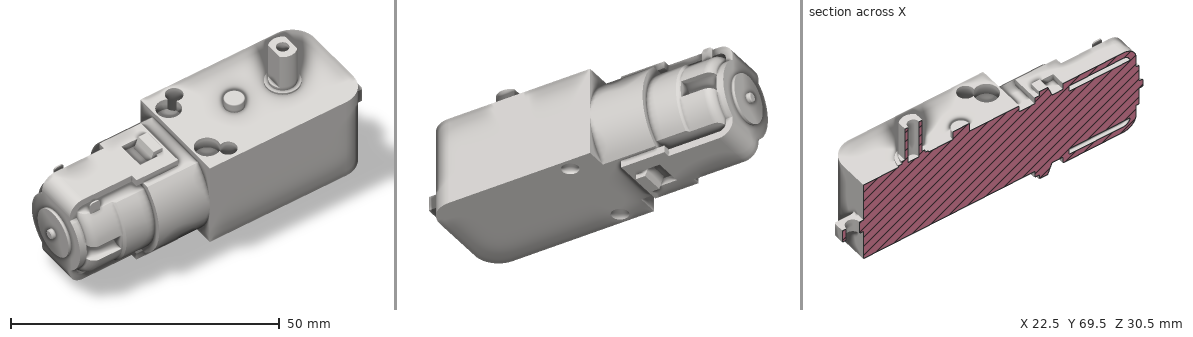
import cadquery as cq
import math


case_width = 22.5
case_back = 11.6
case_front = -24.4
case_corner_radius = 5.0
case_height = 19.0

neck_radius = case_width / 2
neck_center_z = 0.25
neck_half_height = 8.75
neck_front = -35.9

case_bottom = -neck_half_height
case_top = case_bottom + case_height

tab_width = 5.0
tab_end = 16.45
tab_bottom = -1.75
tab_thickness = 3.0
tab_corner_radius = 0.3
tab_hole_diameter = 3.0
tab_hole_y = 14.0
tab_flare_width = 0.4
tab_flare_length = 1.05

screw_hole_diameter = 3.5
screw_hole_x = 8.75
screw_hole_y = -18.5
pocket_diameter = 5.0
pocket_depth = 2.5
pocket_x = 6.25
pocket_y = -21.5

shaft_diameter = 5.5
shaft_length = 9.0
shaft_flat_thickness = 4.0
shaft_round_length = 1.0
shaft_hole_diameter = 2.5
shaft_collar_diameter = 7.0
shaft_collar_height = 0.4

pin_diameter = 4.0
pin_height = 2.0
pin_y = -11.0
pin_edge_radius = 0.25

can_half_height = 7.45
can_wide_radius = 9.8
can_narrow_radius = 9.4
step_start = -42.3
step_end = -42.8
can_front = -49.95
can_edge_radius = 1.9

slot_diameter = 3.5
slot_floor_center_x = 8.0
slot_back = -43.1

cap_radius = 7.85
cap_thickness = 1.5
cap_facet_x = 5.15
cap_top = 6.35
cap_front = can_front - cap_thickness
disc_diameter = 10.01
disc_front = -52.1
rotor_diameter = 2.0
rotor_front = -53.0
rotor_chamfer = 0.2

strap_thickness = cap_thickness
strap_wide = 12.0
strap_narrow = 9.0
strap_back = -27.95
strap_step = -37.4
strap_bend_radius = 3.0
strap_half_height = neck_half_height + strap_thickness
window_width = 6.0
window_back = -30.45
window_front = -34.5

hook_width = 5.0
hook_height = 1.0
hook_back = -29.0
hook_crest = -31.0
hook_foot = -32.0

terminal_length = 2.1
terminal_thickness = 0.3
terminal_x = 5.85
terminal_y = -46.75
terminal_top = 9.8
terminal_bottom = 6.5
terminal_edge_radius = 0.6


def box(width, back, front, bottom, top):
    """Block centred on X, between two Y and two Z positions."""
    size = (width, back - front, top - bottom)
    center = (0, (back + front) / 2, (bottom + top) / 2)
    return cq.Workplane("XY").box(*size).translate(center)


def upright(diameter, x, y, bottom, top):
    """Cylinder along Z."""
    return cq.Workplane("XY", origin=(x, y, bottom)).circle(diameter / 2).extrude(top - bottom)


def lengthwise(radius, back, front):
    """Cylinder along the motor axis, from back to front."""
    return cq.Workplane("XZ", origin=(0, back, 0)).circle(radius).extrude(back - front)


def make_case():
    case = box(case_width, case_back, case_front, case_bottom, case_top)
    return case.edges("|Z and >Y").fillet(case_corner_radius)


def make_tab():
    half = tab_width / 2
    flare_radius = (tab_flare_width**2 + tab_flare_length**2) / (2 * tab_flare_width)
    flare_end = case_back + tab_flare_length
    tab = (
        cq.Workplane("XY", origin=(0, 0, tab_bottom))
        .moveTo(-half, tab_end)
        .lineTo(half, tab_end)
        .lineTo(half, flare_end)
        .radiusArc((half + tab_flare_width, case_back), -flare_radius)
        .lineTo(-half - tab_flare_width, case_back)
        .radiusArc((-half, flare_end), -flare_radius)
        .close()
        .extrude(tab_thickness)
    )
    tab = tab.edges("|Z and >Y").fillet(tab_corner_radius)
    hole = upright(tab_hole_diameter, 0, tab_hole_y, tab_bottom, tab_bottom + tab_thickness)
    return tab.cut(hole)


def cut_screw_holes(body):
    for side in (-1, 1):
        hole = upright(screw_hole_diameter, side * screw_hole_x, screw_hole_y, case_bottom, case_top)
        pocket = upright(pocket_diameter, side * pocket_x, pocket_y, case_top - pocket_depth, case_top)
        body = body.cut(hole).cut(pocket)
    return body


def make_shaft():
    shaft_top = case_top + shaft_length
    flats_bottom = case_top + shaft_round_length
    half_flat = shaft_flat_thickness / 2
    flats = box(shaft_diameter, half_flat, -half_flat, flats_bottom, shaft_top)
    shaft = upright(shaft_diameter, 0, 0, flats_bottom, shaft_top).intersect(flats)
    shaft = shaft.union(upright(shaft_diameter, 0, 0, case_top, flats_bottom))
    shaft = shaft.union(upright(shaft_collar_diameter, 0, 0, case_top, case_top + shaft_collar_height))
    return shaft.cut(upright(shaft_hole_diameter, 0, 0, case_top, shaft_top))


def make_pin():
    pin = upright(pin_diameter, 0, pin_y, case_top, case_top + pin_height)
    return pin.faces(">Z").edges().fillet(pin_edge_radius)


def make_neck():
    limits = box(case_width, case_front, neck_front, -neck_half_height, neck_half_height)
    neck = lengthwise(neck_radius, case_front, neck_front).translate((0, 0, neck_center_z))
    return neck.intersect(limits)


def make_can():
    """Stepped round can with a rounded front edge, flattened above and below."""
    round_end = can_front + can_edge_radius
    profile = (
        cq.Workplane("XY")
        .moveTo(0, neck_front)
        .lineTo(can_wide_radius, neck_front)
        .lineTo(can_wide_radius, step_start)
        .lineTo(can_narrow_radius, step_end)
        .lineTo(can_narrow_radius, round_end)
        .radiusArc((can_narrow_radius - can_edge_radius, can_front), can_edge_radius)
        .lineTo(0, can_front)
        .close()
    )
    can = profile.revolve(360, (0, 0, 0), (0, 1, 0))
    limits = box(2 * can_wide_radius, neck_front, can_front, -can_half_height, can_half_height)
    can = can.intersect(limits)
    for side in (-1, 1):
        can = can.cut(make_side_slot(side))
    return can


def make_side_slot(side):
    """Slot open to one side and to the front, with a half-round floor."""
    half = slot_diameter / 2
    inner_x = side * slot_floor_center_x
    outer_x = side * can_wide_radius
    return (
        cq.Workplane("XZ", origin=(0, slot_back, 0))
        .moveTo(outer_x, half)
        .lineTo(inner_x, half)
        .threePointArc((inner_x - side * half, 0), (inner_x, -half))
        .lineTo(outer_x, -half)
        .close()
        .extrude(slot_back - can_front)
    )


def make_cap():
    """Round cap, cut off below where the strap bends and faceted beside the strap above."""
    cap_bottom = strap_bend_radius - strap_half_height
    bottom_x = math.sqrt(cap_radius**2 - cap_bottom**2)
    facet_z = math.sqrt(cap_radius**2 - cap_facet_x**2)
    cap = (
        cq.Workplane("XZ", origin=(0, can_front, 0))
        .moveTo(-strap_narrow / 2, cap_top)
        .lineTo(strap_narrow / 2, cap_top)
        .lineTo(cap_facet_x, facet_z)
        .threePointArc((cap_radius, 0), (bottom_x, cap_bottom))
        .lineTo(-bottom_x, cap_bottom)
        .threePointArc((-cap_radius, 0), (-cap_facet_x, facet_z))
        .close()
        .extrude(cap_thickness)
    )
    disc = lengthwise(disc_diameter / 2, cap_front, disc_front)
    rotor = lengthwise(rotor_diameter / 2, disc_front, rotor_front)
    rotor = rotor.faces("<Y").edges().chamfer(rotor_chamfer)
    return cap.union(disc).union(rotor)


def make_strap():
    """U-shaped strap: narrow round the motor, wider over the neck."""
    top = strap_half_height
    inside = strap_half_height - strap_thickness
    outer = box(strap_wide, strap_back, cap_front, -top, top)
    outer = outer.edges("|X and <Y").fillet(strap_bend_radius)
    inner = box(strap_wide, strap_back, can_front, -inside, inside)
    inner = inner.edges("|X and <Y").fillet(strap_bend_radius - strap_thickness)
    outline = box(strap_wide, strap_back, strap_step, -top, top)
    outline = outline.union(box(strap_narrow, strap_step, cap_front, -top, top))
    window = box(window_width, window_back, window_front, -top, top)
    return outer.cut(inner).intersect(outline).cut(window)


def make_hook(side):
    """Hook through one strap window, reaching back over the strap."""
    base = side * neck_half_height
    strap_face = side * strap_half_height
    crest = side * (strap_half_height + hook_height)
    outline = [
        (hook_foot, base),
        (hook_crest, crest),
        (hook_back, crest),
        (hook_back, strap_face),
        (window_back, strap_face),
        (window_back, base),
    ]
    hook = cq.Workplane("YZ", origin=(-hook_width / 2, 0, 0)).polyline(outline).close()
    return hook.extrude(hook_width)


def make_terminal(side):
    back = terminal_y + terminal_length / 2
    blade = box(terminal_thickness, back, back - terminal_length, terminal_bottom, terminal_top)
    blade = blade.edges("|X and >Z").fillet(terminal_edge_radius)
    return blade.translate((side * terminal_x, 0, 0))


result = cut_screw_holes(make_case())
result = result.union(make_tab()).union(make_shaft()).union(make_pin())
result = result.union(make_neck()).union(make_can()).union(make_cap()).union(make_strap())
for side in (-1, 1):
    result = result.union(make_hook(side)).union(make_terminal(side))